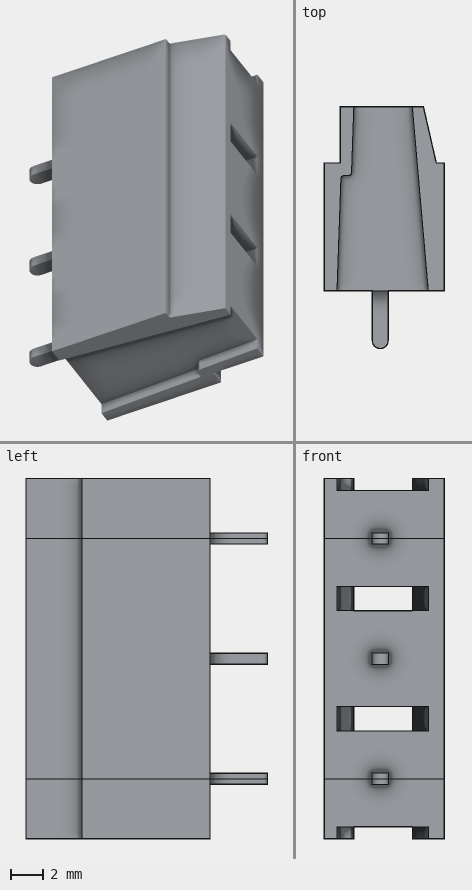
import cadquery as cq

POLE_COUNT = 3
PITCH = 7.5
BLOCK_WIDTH = 7.5
BLOCK_DEPTH = 11.5
BLOCK_HEIGHT = POLE_COUNT * PITCH
SHOULDER_DEPTH = 8.0
LEFT_SHOULDER = 1.0
RIGHT_SHOULDER = 0.5
RIGHT_TOP_INSET = 1.3

SLOT_HEIGHT = 1.5
SLOT_STEP_DEPTH = 7.2
SLOT_STEP_ROUND = 0.2
SLOT_LEFT_FRONT = 0.8
SLOT_LEFT_BELOW_STEP = 1.05
SLOT_LEFT_ABOVE_STEP = 1.7
SLOT_LEFT_REAR = 1.85
SLOT_RIGHT_FRONT = 1.0
SLOT_RIGHT_REAR = 2.0

PIN_WIDTH = 1.0
PIN_THICKNESS = 0.7
PIN_LENGTH = 3.6
PIN_X = -0.25

LEFT = -BLOCK_WIDTH / 2
RIGHT = BLOCK_WIDTH / 2
BOTTOM = -BLOCK_HEIGHT / 2
TOP = BLOCK_HEIGHT / 2
POLE_LEVELS = [BOTTOM + (i + 0.5) * PITCH for i in range(POLE_COUNT)]
SLOT_LEVELS = [BOTTOM + i * PITCH for i in range(POLE_COUNT + 1)]


def make_block():
    """Full-height stepped block with its front face at Y = 0."""
    outline = [
        (LEFT, 0),
        (RIGHT, 0),
        (RIGHT, SHOULDER_DEPTH),
        (RIGHT - RIGHT_SHOULDER, SHOULDER_DEPTH),
        (RIGHT - RIGHT_TOP_INSET, BLOCK_DEPTH),
        (LEFT + LEFT_SHOULDER, BLOCK_DEPTH),
        (LEFT + LEFT_SHOULDER, SHOULDER_DEPTH),
        (LEFT, SHOULDER_DEPTH),
    ]
    return cq.Workplane("XY", origin=(0, 0, BOTTOM)).polyline(outline).close().extrude(BLOCK_HEIGHT)


def make_slot(level):
    """Cutter for the tapered, stepped slot that runs through the block along Y."""
    outline = [
        (LEFT + SLOT_LEFT_FRONT, 0),
        (RIGHT - SLOT_RIGHT_FRONT, 0),
        (RIGHT - SLOT_RIGHT_REAR, BLOCK_DEPTH),
        (LEFT + SLOT_LEFT_REAR, BLOCK_DEPTH),
        (LEFT + SLOT_LEFT_ABOVE_STEP, SLOT_STEP_DEPTH),
        (LEFT + SLOT_LEFT_BELOW_STEP, SLOT_STEP_DEPTH),
    ]
    step_edges = cq.selectors.BoxSelector(
        (LEFT, SLOT_STEP_DEPTH - SLOT_STEP_ROUND, level - SLOT_HEIGHT),
        (0, SLOT_STEP_DEPTH + SLOT_STEP_ROUND, level + SLOT_HEIGHT),
    )
    slot = cq.Workplane("XY", origin=(0, 0, level - SLOT_HEIGHT / 2)).polyline(outline).close()
    return slot.extrude(SLOT_HEIGHT).edges("|Z").edges(step_edges).fillet(SLOT_STEP_ROUND)


def make_pin(level):
    """Flat solder pin with a half-round tip, standing out of the front face."""
    straight_end = PIN_WIDTH / 2 - PIN_LENGTH
    return (
        cq.Workplane("XY", origin=(PIN_X, 0, level - PIN_THICKNESS / 2))
        .moveTo(-PIN_WIDTH / 2, 0)
        .lineTo(-PIN_WIDTH / 2, straight_end)
        .threePointArc((0, -PIN_LENGTH), (PIN_WIDTH / 2, straight_end))
        .lineTo(PIN_WIDTH / 2, 0)
        .close()
        .extrude(PIN_THICKNESS)
    )


def make_slice(whole, low, high):
    """The part of the whole between two Z levels."""
    reach = BLOCK_DEPTH + PIN_LENGTH
    slab = cq.Workplane("XY", origin=(0, 0, low)).rect(2 * BLOCK_WIDTH, 2 * reach).extrude(high - low)
    return whole.intersect(slab)


terminal_block = make_block()
for slot_level in SLOT_LEVELS:
    terminal_block = terminal_block.cut(make_slot(slot_level))
for pole_level in POLE_LEVELS:
    terminal_block = terminal_block.union(make_pin(pole_level))

bottom_end = make_slice(terminal_block, BOTTOM, POLE_LEVELS[0])
middle = make_slice(terminal_block, POLE_LEVELS[0], POLE_LEVELS[-1])
top_end = make_slice(terminal_block, POLE_LEVELS[-1], TOP)

result = cq.Compound.makeCompound([bottom_end.val(), middle.val(), top_end.val()])